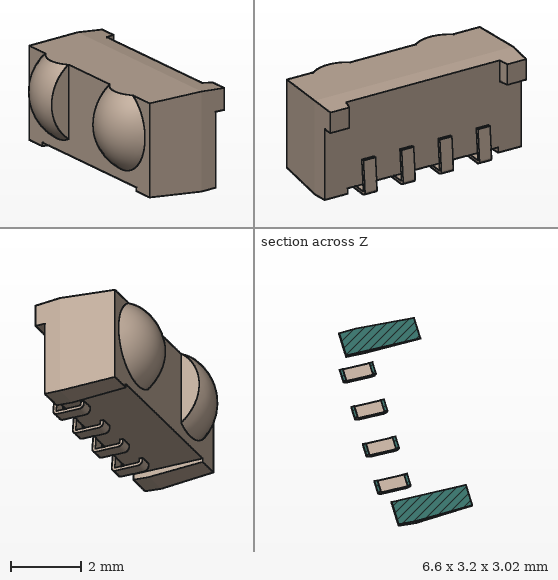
import cadquery as cq
import math

body_width = 6.6
body_height = 3.0
front_depth = 1.7
back_depth = 0.8
draft_angle = 3.0

recess_depth = 0.3
foot_bottom_z = 2.3
recess_half_width = 2.55
foot_side_angle = 15.0

slot_width = 5.0
slot_height = 0.2

lens_radius = 1.5
lens_protrusion = 0.7
lens_spacing = 3.4
lens_center_z = 1.8
lens_flat_offset = 0.6

lead_count = 4
lead_pitch = 1.27
lead_width = 0.4
lead_thickness = 0.1
lead_drop = 0.02
lead_front_y = -0.18
lead_tip_z = 1.08
lead_tilt = 5.0
lead_embed = 0.2
front_bend_radius = 0.05
rear_bend_radius = 0.02

center_z = body_height / 2
lens_tip_y = -(front_depth + lens_protrusion)


def make_front_half(depth):
    return (
        cq.Workplane("XZ", origin=(0, 0, center_z))
        .rect(body_width, body_height)
        .extrude(depth, taper=draft_angle)
    )


def make_back_half():
    return (
        cq.Workplane("ZX", origin=(0, 0, center_z))
        .rect(body_height, body_width)
        .extrude(back_depth, taper=draft_angle)
    )


def make_rear_recess():
    floor_y = back_depth - recess_depth
    mouth_half_width = recess_half_width + recess_depth * math.tan(math.radians(foot_side_angle))
    between_feet = (
        cq.Workplane("XY")
        .polyline([
            (-recess_half_width, floor_y),
            (recess_half_width, floor_y),
            (mouth_half_width, back_depth),
            (-mouth_half_width, back_depth),
        ])
        .close()
        .extrude(body_height)
    )
    below_feet = (
        cq.Workplane("XY", origin=(0, floor_y + recess_depth / 2, 0))
        .rect(body_width, recess_depth)
        .extrude(foot_bottom_z)
    )
    return between_feet.union(below_feet)


def make_slot():
    return (
        cq.Workplane("XZ", origin=(0, back_depth, 0))
        .rect(slot_width, 2 * slot_height)
        .extrude(back_depth + front_depth)
    )


def make_lens(side):
    """Lens on the -X (side = -1) or +X (side = 1) half, trimmed by the drafted housing walls."""
    lens_x = side * lens_spacing / 2
    flat_x = lens_x - side * lens_flat_offset
    ball = cq.Workplane("XY").sphere(lens_radius)
    ball = ball.translate((lens_x, lens_tip_y + lens_radius, lens_center_z))
    keep_region = cq.Workplane("XY").box(2 * lens_radius, 2 * lens_radius, 2 * lens_radius)
    keep_region = keep_region.translate(
        (flat_x + side * lens_radius, lens_tip_y + lens_radius, lens_center_z)
    )
    return ball.intersect(keep_region).intersect(make_front_half(-lens_tip_y))


def make_lead(lead_x):
    tilt = math.radians(lead_tilt)
    bottom_z = -lead_drop
    floor_z = bottom_z + lead_thickness
    inner_front_y = lead_front_y + lead_thickness
    root_z = slot_height + lead_embed

    outer_rear_radius = rear_bend_radius + lead_thickness
    outer_corner_y = back_depth + outer_rear_radius * (1 / math.cos(tilt) + math.tan(tilt) - 1)

    inner_bottom_y = outer_corner_y - lead_thickness / math.cos(tilt)
    inner_corner_y = inner_bottom_y - lead_thickness * math.tan(tilt)
    outer_tip_y = outer_corner_y - (lead_tip_z - bottom_z) * math.tan(tilt)
    inner_tip_y = outer_tip_y - lead_thickness * math.cos(tilt)
    inner_tip_z = lead_tip_z - lead_thickness * math.sin(tilt)

    strip = (
        cq.Workplane("YZ", origin=(lead_x - lead_width / 2, 0, 0))
        .polyline([
            (lead_front_y, root_z),
            (lead_front_y, bottom_z),
            (outer_corner_y, bottom_z),
            (outer_tip_y, lead_tip_z),
            (inner_tip_y, inner_tip_z),
            (inner_corner_y, floor_z),
            (inner_front_y, floor_z),
            (inner_front_y, root_z),
        ])
        .close()
        .extrude(lead_width)
    )
    bends = [
        (lead_front_y, bottom_z, front_bend_radius + lead_thickness),
        (inner_front_y, floor_z, front_bend_radius),
        (outer_corner_y, bottom_z, outer_rear_radius),
        (inner_corner_y, floor_z, rear_bend_radius),
    ]
    for corner_y, corner_z, radius in bends:
        corner = cq.selectors.NearestToPointSelector((lead_x, corner_y, corner_z))
        strip = strip.edges("|X").edges(corner).fillet(radius)
    return strip


result = make_front_half(front_depth).union(make_back_half())
result = result.cut(make_rear_recess()).cut(make_slot())

for side in (-1, 1):
    result = result.union(make_lens(side))

for index in range(lead_count):
    result = result.union(make_lead((index - (lead_count - 1) / 2) * lead_pitch))